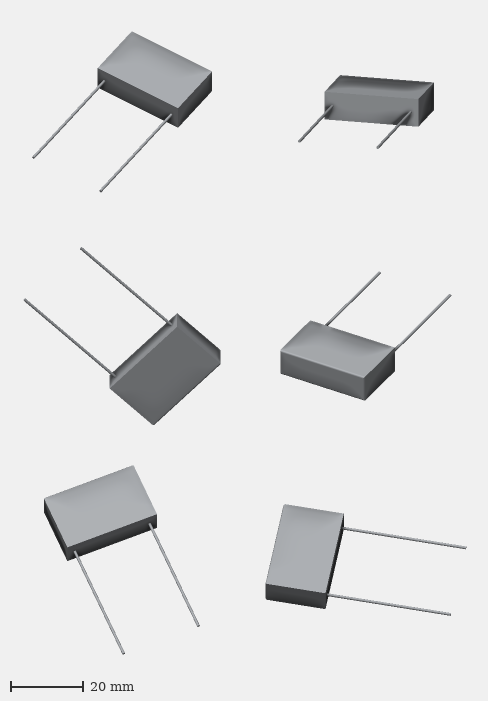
import cadquery as cq


total_length = 52.0
case_width = 27.0
case_height = 8.0
case_length = 17.0
rear_edge_radius = 0.5

lead_diameter = 0.8
lead_spacing = 22.5
lead_length = total_length - case_length


def make_case():
    """Box with its front face on y = 0 and rounded edges around the rear face."""
    box = cq.Workplane("XY").box(case_width, case_length, case_height, centered=(True, False, True))
    return box.faces(">Y").edges().fillet(rear_edge_radius)


def make_lead(x):
    """Round wire that starts on the front face of the case and runs to -Y."""
    return cq.Workplane("XZ").center(x, 0).circle(lead_diameter / 2).extrude(lead_length)


case = make_case()
leads = [make_lead(side * lead_spacing / 2) for side in (-1, 1)]

result = cq.Compound.makeCompound([case.val(), *[lead.val() for lead in leads]])